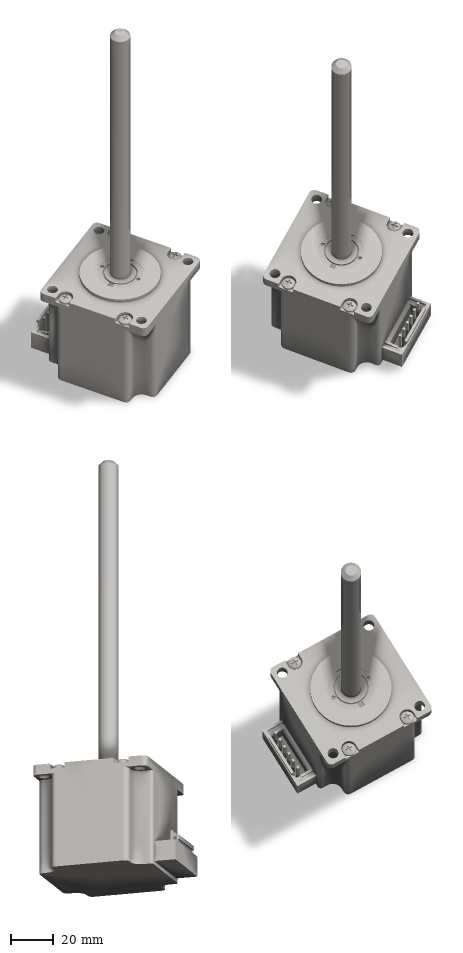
import cadquery as cq


BODY_WIDTH = 56.5
HALF_WIDTH = BODY_WIDTH / 2
FLANGE_TOP = 50.3
FLANGE_THICKNESS = 4.9
FLANGE_BOTTOM = FLANGE_TOP - FLANGE_THICKNESS
FLANGE_CORNER_RADIUS = 2.5
MOUNT_HOLE_DIAMETER = 5.0
MOUNT_HOLE_OFFSET = 23.5

CORNER_RECESS_SIDE = 19.0
CORNER_INNER_RADIUS = 4.9
CORNER_OUTER_RADIUS = 2.5
CONNECTOR_SIDE_RADIUS = 1.6

PILOT_DIAMETER = 38.1
PILOT_TOP = 52.0
BUSHING_DIAMETER = 21.5
BUSHING_INSET = 0.2
BUSHING_TOP = PILOT_TOP - BUSHING_INSET
RING_OUTER_DIAMETER = 16.5
RING_INNER_DIAMETER = 15.0
BUSHING_CUT_DEPTH = 1.0
KEY_SLOT_WIDTH = 2.6
PIN_HOLE_DIAMETER = 2.0
PIN_HOLE_OFFSET = 9.5

SHAFT_DIAMETER = 9.5
SHAFT_TOP = 202.7
SHAFT_TIP_DIAMETER = 5.0
SHAFT_TIP_HEIGHT = 2.0

SCREW_X = 15.8
SCREW_Y = 25.1
SEAT_WIDTH = 7.3
SEAT_DEPTH = 2.5
HEAD_DIAMETER = 6.0
HEAD_RIM_HEIGHT = 1.2
HEAD_HEIGHT = 2.2
CROSS_LENGTH = 3.2
CROSS_WIDTH = 0.8
CROSS_DEPTH = 1.2

CONNECTOR_REACH = 10.3
CONNECTOR_OUTER_X = -HALF_WIDTH - CONNECTOR_REACH
CONNECTOR_LENGTH = 32.5
CONNECTOR_BOTTOM = 1.8
CONNECTOR_TOP = 11.5
CAVITY_OUTER_X = -37.3
CAVITY_INNER_X = -30.2
CAVITY_LENGTH = 24.0
CAVITY_DEPTH = 8.1
CAVITY_LEAD_IN = 0.8

SLOT_OUTER_X = -36.7
SLOT_HOOK_X = -34.9
SLOT_NEAR_Y = 13.2
SLOT_FAR_Y = 15.0
SLOT_DEPTH = 1.2
STEP_INNER_X = -31.8
STEP_DEPTH = 0.5

LATCH_LENGTH = 21.5
LATCH_TOP = 15.2
LATCH_HOOK_BOTTOM = 13.2
LATCH_NECK_X = -38.0

PIN_COUNT = 6
PIN_PITCH = 4.0
PIN_WIDTH = 1.2
PIN_X = -34.9
PIN_TOP = 17.6


def block(x_range, y_range, z_range):
    """Axis-aligned box between the given limits."""
    size = [high - low for low, high in (x_range, y_range, z_range)]
    corner = (x_range[0], y_range[0], z_range[0])
    return cq.Workplane("XY").box(*size, centered=False).translate(corner)


def disc(diameter, bottom, top):
    """Cylinder on the motor axis."""
    return cq.Workplane("XY").workplane(offset=bottom).circle(diameter / 2).extrude(top - bottom)


def make_body():
    """Square body with a rounded L-shaped recess along each vertical edge."""
    body = cq.Workplane("XY").rect(BODY_WIDTH, BODY_WIDTH).extrude(FLANGE_BOTTOM)
    notch_width = HALF_WIDTH - CORNER_RECESS_SIDE
    notch_spacing = 2 * CORNER_RECESS_SIDE + notch_width
    notches = (
        cq.Workplane("XY")
        .rarray(notch_spacing, notch_spacing, 2, 2)
        .rect(notch_width, notch_width)
        .extrude(FLANGE_BOTTOM)
    )
    body = body.cut(notches)

    between = (CORNER_RECESS_SIDE + HALF_WIDTH) / 2
    beyond = 2 * HALF_WIDTH

    def round_edges(solid, x_range, y_range, radius):
        """Round the vertical edges whose centres lie between the given limits."""
        low = (x_range[0], y_range[0], 0)
        high = (x_range[1], y_range[1], FLANGE_BOTTOM)
        return solid.edges("|Z").edges(cq.selectors.BoxSelector(low, high)).fillet(radius)

    inside = (-between, between)
    body = round_edges(body, inside, inside, CORNER_INNER_RADIUS)
    body = round_edges(body, inside, (between, beyond), CORNER_OUTER_RADIUS)
    body = round_edges(body, inside, (-beyond, -between), CORNER_OUTER_RADIUS)
    body = round_edges(body, (between, beyond), inside, CORNER_OUTER_RADIUS)
    return round_edges(body, (-beyond, -between), inside, CONNECTOR_SIDE_RADIUS)


def make_flange():
    """Square flange with a mounting hole near each corner."""
    return (
        cq.Workplane("XY")
        .workplane(offset=FLANGE_BOTTOM)
        .rect(BODY_WIDTH, BODY_WIDTH)
        .extrude(FLANGE_THICKNESS)
        .edges("|Z")
        .fillet(FLANGE_CORNER_RADIUS)
        .faces(">Z")
        .workplane()
        .rarray(2 * MOUNT_HOLE_OFFSET, 2 * MOUNT_HOLE_OFFSET, 2, 2)
        .hole(MOUNT_HOLE_DIAMETER)
    )


def make_pilot():
    """Pilot disc with a bushing face, a ring groove, two key slots and two pin holes."""
    cut_bottom = BUSHING_TOP - BUSHING_CUT_DEPTH
    ring_groove = disc(RING_OUTER_DIAMETER, cut_bottom, BUSHING_TOP).cut(
        disc(RING_INNER_DIAMETER, cut_bottom, BUSHING_TOP)
    )
    half_slot = KEY_SLOT_WIDTH / 2
    half_bushing = BUSHING_DIAMETER / 2
    key_slots = (
        block((-half_slot, half_slot), (-half_bushing, half_bushing), (cut_bottom, BUSHING_TOP))
        .intersect(disc(BUSHING_DIAMETER, cut_bottom, BUSHING_TOP))
        .cut(disc(RING_INNER_DIAMETER, cut_bottom, BUSHING_TOP))
    )
    pin_holes = (
        cq.Workplane("XY")
        .workplane(offset=cut_bottom)
        .pushPoints([(-PIN_HOLE_OFFSET, 0), (PIN_HOLE_OFFSET, 0)])
        .circle(PIN_HOLE_DIAMETER / 2)
        .extrude(BUSHING_CUT_DEPTH)
    )
    return (
        disc(PILOT_DIAMETER, FLANGE_TOP, PILOT_TOP)
        .cut(disc(BUSHING_DIAMETER, BUSHING_TOP, PILOT_TOP))
        .cut(ring_groove)
        .cut(key_slots)
        .cut(pin_holes)
    )


def make_shaft():
    """Long round shaft with a conical tip."""
    shoulder = SHAFT_TOP - SHAFT_TIP_HEIGHT
    return (
        cq.Workplane("XZ")
        .moveTo(0, FLANGE_TOP)
        .lineTo(SHAFT_DIAMETER / 2, FLANGE_TOP)
        .lineTo(SHAFT_DIAMETER / 2, shoulder)
        .lineTo(SHAFT_TIP_DIAMETER / 2, SHAFT_TOP)
        .lineTo(0, SHAFT_TOP)
        .close()
        .revolve()
    )


def screw_seat():
    """U-shaped cut around the origin, open toward +Y, with its floor at z = 0."""
    half_seat = SEAT_WIDTH / 2
    return (
        cq.Workplane("XY")
        .moveTo(-half_seat, half_seat)
        .lineTo(-half_seat, 0)
        .threePointArc((0, -half_seat), (half_seat, 0))
        .lineTo(half_seat, half_seat)
        .close()
        .extrude(SEAT_DEPTH)
    )


def screw_head():
    """Domed screw head with a cross recess, standing on z = 0."""
    radius = HEAD_DIAMETER / 2
    dome_height = HEAD_HEIGHT - HEAD_RIM_HEIGHT
    sphere_radius = (radius**2 + dome_height**2) / (2 * dome_height)
    rim = cq.Workplane("XY").circle(radius).extrude(HEAD_HEIGHT)
    sphere = cq.Workplane("XY").sphere(sphere_radius).translate((0, 0, HEAD_HEIGHT - sphere_radius))
    head = rim.intersect(sphere)
    cross_bottom = HEAD_HEIGHT - CROSS_DEPTH
    half_length = CROSS_LENGTH / 2
    half_width = CROSS_WIDTH / 2
    for half_x, half_y in ((half_length, half_width), (half_width, half_length)):
        arm = block((-half_x, half_x), (-half_y, half_y), (cross_bottom, HEAD_HEIGHT))
        head = head.cut(arm)
    return head


def add_screws(motor):
    """Cut the four screw seats into the flange and place a head in each."""
    seat_floor = FLANGE_TOP - SEAT_DEPTH
    upright = cq.Vector(0, 0, 1)
    for x in (-SCREW_X, SCREW_X):
        for y, turn in ((SCREW_Y, 0), (-SCREW_Y, 180)):
            place = cq.Location(cq.Vector(x, y, seat_floor), upright, turn)
            motor = motor.cut(cq.Workplane(screw_seat().val().moved(place)))
            motor = motor.union(cq.Workplane(screw_head().val().moved(place)))
    return motor


def make_housing():
    """Connector housing with an open cavity and an L-shaped slot at each end of it."""
    half_length = CONNECTOR_LENGTH / 2
    half_cavity = CAVITY_LENGTH / 2
    housing = block(
        (CONNECTOR_OUTER_X, -HALF_WIDTH),
        (-half_length, half_length),
        (CONNECTOR_BOTTOM, CONNECTOR_TOP),
    )
    cavity = block(
        (CAVITY_OUTER_X, CAVITY_INNER_X),
        (-half_cavity, half_cavity),
        (CONNECTOR_TOP - CAVITY_DEPTH, CONNECTOR_TOP),
    )
    lead_in = (
        cq.Workplane("XZ")
        .moveTo(CAVITY_INNER_X, CONNECTOR_TOP - CAVITY_LEAD_IN)
        .lineTo(CAVITY_INNER_X + CAVITY_LEAD_IN, CONNECTOR_TOP)
        .lineTo(CAVITY_INNER_X, CONNECTOR_TOP)
        .close()
        .extrude(half_cavity, both=True)
    )
    slot_z = (CONNECTOR_TOP - SLOT_DEPTH, CONNECTOR_TOP)
    step_z = (CONNECTOR_TOP - STEP_DEPTH, CONNECTOR_TOP)
    end_cuts = (
        block((SLOT_OUTER_X, -HALF_WIDTH), (SLOT_NEAR_Y, SLOT_FAR_Y), slot_z)
        .union(block((SLOT_OUTER_X, SLOT_HOOK_X), (half_cavity, SLOT_FAR_Y), slot_z))
        .union(block((SLOT_HOOK_X, STEP_INNER_X), (half_cavity, SLOT_NEAR_Y), step_z))
    )
    return housing.cut(cavity).cut(lead_in).cut(end_cuts).cut(end_cuts.mirror("XZ"))


def make_latch():
    """Hooked lip along the outer wall of the connector."""
    return (
        cq.Workplane("XZ")
        .moveTo(CAVITY_OUTER_X, CONNECTOR_TOP)
        .lineTo(CAVITY_OUTER_X, LATCH_TOP)
        .lineTo(CONNECTOR_OUTER_X, LATCH_TOP)
        .lineTo(CONNECTOR_OUTER_X, LATCH_HOOK_BOTTOM)
        .lineTo(LATCH_NECK_X, LATCH_HOOK_BOTTOM)
        .lineTo(LATCH_NECK_X, CONNECTOR_TOP)
        .close()
        .extrude(LATCH_LENGTH / 2, both=True)
    )


def make_pins():
    """Row of square pins standing on the cavity floor."""
    floor = CONNECTOR_TOP - CAVITY_DEPTH
    return (
        cq.Workplane("XY")
        .workplane(offset=floor)
        .center(PIN_X, 0)
        .rarray(PIN_WIDTH, PIN_PITCH, 1, PIN_COUNT)
        .rect(PIN_WIDTH, PIN_WIDTH)
        .extrude(PIN_TOP - floor)
    )


motor = make_body().union(make_flange()).union(make_pilot()).union(make_shaft())
motor = add_screws(motor)
result = motor.union(make_housing()).union(make_latch()).union(make_pins())